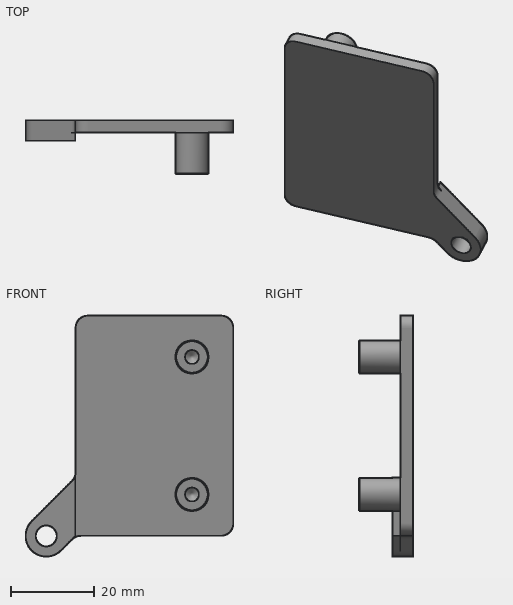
import cadquery as cq
import math

plate_width = 38.0
plate_height = 53.0
plate_thickness = 3.0
corner_radius = 3.0

lug_radius = 5.0
lug_offset = 7.0
lug_thickness = 5.0
lug_hole_diameter = 5.0

standoff_diameter = 8.0
standoff_length = 10.0
standoff_inset = 10.0
standoff_chamfer = 0.25
bore_diameter = 3.35
bore_depth = 8.0
drill_point_angle = 118

tangent_offset = lug_radius * math.sin(math.radians(45))
upper_meet = lug_offset + 2 * tangent_offset
lower_meet = lug_offset - 2 * tangent_offset

upper_tangent = (-lug_offset - tangent_offset, tangent_offset)
arc_middle = (-lug_offset - tangent_offset, -tangent_offset)
lower_tangent = (-lug_offset + tangent_offset, -tangent_offset)


def make_base():
    """Plate and lug in one outline, with blended inside corners."""
    upper_corner = (0, upper_meet)
    lower_corner = (-lower_meet, 0)
    base = (
        cq.Workplane("XZ")
        .moveTo(*lower_corner)
        .lineTo(plate_width, 0)
        .lineTo(plate_width, plate_height)
        .lineTo(0, plate_height)
        .lineTo(*upper_corner)
        .lineTo(*upper_tangent)
        .threePointArc(arc_middle, lower_tangent)
        .close()
        .extrude(plate_thickness)
    )
    filleted_corners = [
        upper_corner,
        lower_corner,
        (plate_width, 0),
        (plate_width, plate_height),
        (0, plate_height),
    ]
    for x, z in filleted_corners:
        edge_finder = cq.NearestToPointSelector((x, -plate_thickness / 2, z))
        base = base.edges("|Y").edges(edge_finder).fillet(corner_radius)
    return base


def make_lug():
    """Full-thickness lug, ending squarely at the plate's left edge."""
    return (
        cq.Workplane("XZ")
        .moveTo(0, -lower_meet)
        .lineTo(0, upper_meet)
        .lineTo(*upper_tangent)
        .threePointArc(arc_middle, lower_tangent)
        .close()
        .extrude(lug_thickness)
    )


def make_standoff(x, z):
    """Chamfered standoff with a blind drilled hole ending in a cone."""
    radius = standoff_diameter / 2
    bore_radius = bore_diameter / 2
    tip_depth = bore_depth + bore_radius / math.tan(math.radians(drill_point_angle / 2))
    half_section = [
        (0, 0),
        (radius, 0),
        (radius, standoff_length - standoff_chamfer),
        (radius - standoff_chamfer, standoff_length),
        (bore_radius, standoff_length),
        (bore_radius, standoff_length - bore_depth),
        (0, standoff_length - tip_depth),
    ]
    return (
        cq.Workplane("XY")
        .polyline(half_section)
        .close()
        .revolve(360, (0, 0, 0), (0, 1, 0))
        .rotate((0, 0, 0), (0, 0, 1), 180)
        .translate((x, -plate_thickness, z))
    )


lug_hole = (
    cq.Workplane("XZ")
    .center(-lug_offset, 0)
    .circle(lug_hole_diameter / 2)
    .extrude(lug_thickness)
)

result = make_base().union(make_lug()).cut(lug_hole)
for standoff_z in (standoff_inset, plate_height - standoff_inset):
    result = result.union(make_standoff(plate_width - standoff_inset, standoff_z))